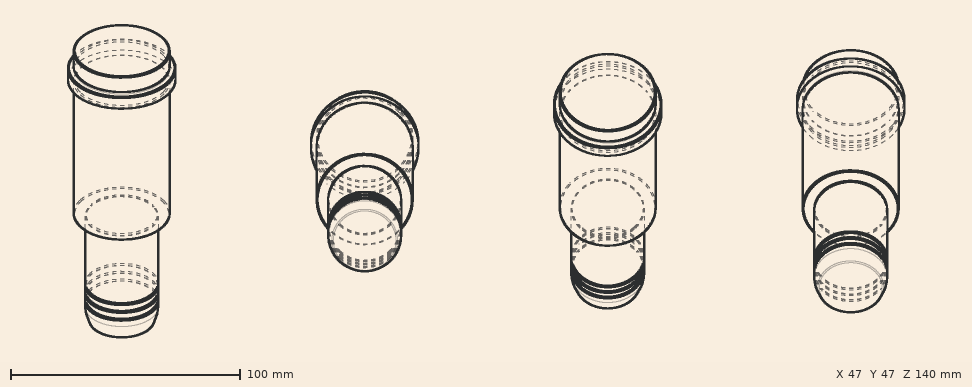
import cadquery as cq

total_height = 140.0
body_bottom = 55.0
flange_bottom = 125.0
flange_thickness = 6.0
flange_top = flange_bottom + flange_thickness

flange_radius = 23.5
body_radius = 21.0
shank_radius = 16.0
nose_end_radius = 14.1

edge_chamfer = 0.49
relief_width = 1.0
relief_depth = 0.4

nose_height = 7.0
nose_mid_radius = 15.4
nose_mid_height = nose_height / 2
nose_edge_radius = 0.7

groove_count = 3
groove_pitch = 4.0
groove_width = 1.0
lowest_groove_center = 10.5


def cylinder(radius, bottom, top):
    """Solid cylinder on the Z axis between two heights."""
    return cq.Workplane("XY").workplane(offset=bottom).circle(radius).extrude(top - bottom)


def ring_cut(radius, depth, bottom, width):
    """Ring that removes a groove of the given depth from a cylinder."""
    return cylinder(radius, bottom, bottom + width).cut(
        cylinder(radius - depth, bottom, bottom + width)
    )


def round_groove(radius, center_height, width):
    """Ring with a circular section, leaving a half-round groove in a cylinder."""
    return (
        cq.Workplane("XZ")
        .center(radius, center_height)
        .circle(width / 2)
        .revolve(360, (-radius, 0), (-radius, 1))
    )


def make_nose():
    """Bulging taper from the shank down to a softened flat end."""
    nose = (
        cq.Workplane("XZ")
        .lineTo(nose_end_radius, 0)
        .threePointArc((nose_mid_radius, nose_mid_height), (shank_radius, nose_height))
        .lineTo(0, nose_height)
        .close()
        .revolve(360, (0, 0), (0, 1))
    )
    return nose.faces("<Z").edges().fillet(nose_edge_radius)


def make_shank():
    """Lower cylinder with its ring grooves and the relief under the body."""
    shank = cylinder(shank_radius, nose_height, body_bottom)
    for index in range(groove_count):
        center_height = lowest_groove_center + index * groove_pitch
        shank = shank.cut(round_groove(shank_radius, center_height, groove_width))
    relief_bottom = body_bottom - relief_width
    return shank.cut(ring_cut(shank_radius, relief_depth, relief_bottom, relief_width))


def make_body():
    """Main cylinder with chamfered ends and a half-round relief on each side of the flange."""
    body = cylinder(body_radius, body_bottom, total_height)
    body = body.faces("<Z or >Z").edges().chamfer(edge_chamfer)
    for center_height in (flange_bottom - relief_width / 2, flange_top + relief_width / 2):
        body = body.cut(round_groove(body_radius, center_height, relief_width))
    return body


def make_flange():
    """Collar with a chamfered upper edge."""
    flange = cylinder(flange_radius, flange_bottom, flange_top)
    return flange.faces(">Z").edges().chamfer(edge_chamfer)


result = make_nose().union(make_shank()).union(make_body()).union(make_flange())